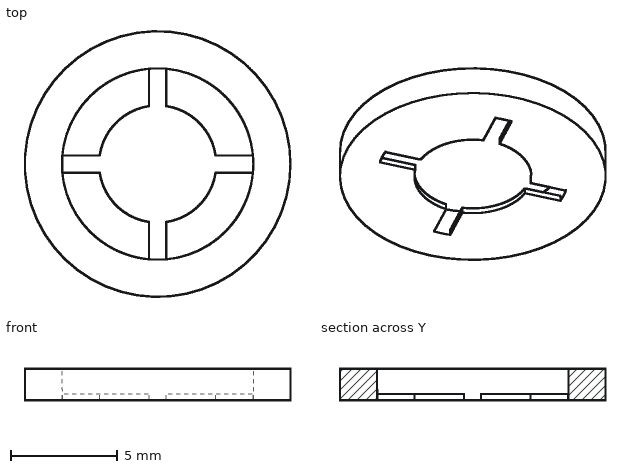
import cadquery as cq

outer_diameter = 12.5
bore_diameter = 9.0
height = 1.5
tab_inner_diameter = 5.5
tab_thickness = 0.3
slot_width = 0.8


def tube(outer, inner, length):
    """Round tube standing on the XY plane."""
    return cq.Workplane("XY").circle(outer / 2).circle(inner / 2).extrude(length)


def slotted_flange():
    """Thin inward flange at the base, split into four tabs by crossed slots."""
    flange = tube(bore_diameter, tab_inner_diameter, tab_thickness)
    for angle in (0, 90):
        slot = (
            cq.Workplane("XY")
            .rect(outer_diameter, slot_width)
            .extrude(tab_thickness)
            .rotate((0, 0, 0), (0, 0, 1), angle)
        )
        flange = flange.cut(slot)
    return flange


ring = tube(outer_diameter, bore_diameter, height)
result = ring.union(slotted_flange())